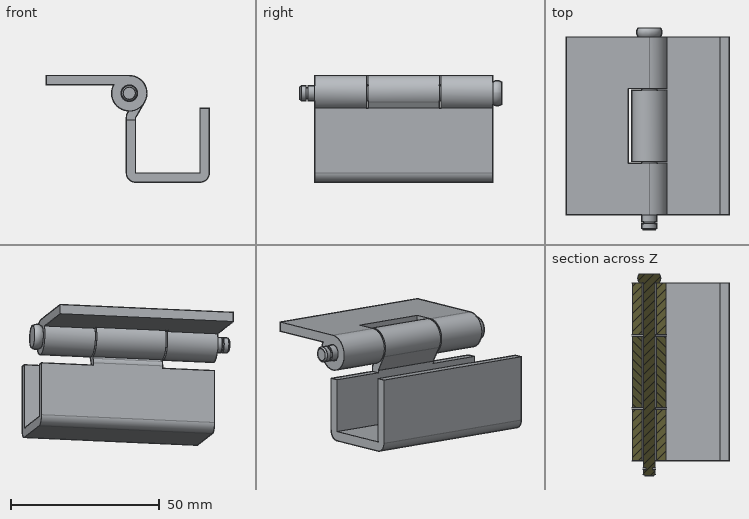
import cadquery as cq
import math

leaf_length = 60.0
thickness = 3.2
knuckle_radius = 6.0
shaft_radius = 2.6
hole_radius = 2.8

flat_reach = 28.0
notch_length = 25.0
notch_edge_x = -7.0

channel_left = -1.0
channel_right = 27.0
channel_bottom = -30.0
flange_top = -5.0
shoulder_top = -9.0
center_knuckle_length = 24.0
bend_angle = math.radians(60)

head_radius = 4.3
head_height = 3.0
head_face_radius = 3.75
overall_length = 68
tail_length = overall_length - leaf_length - head_height
tail_chamfer = 0.55
groove_radius = 1.9
groove_width = 0.6
groove_offset = 2.3


def along_y(outline, length):
    """Extrude an XZ outline symmetrically about Y = 0."""
    return outline.extrude(length / 2, both=True)


def xz_box(left, right, bottom, top, length):
    return cq.Workplane("XY").box(right - left, length, top - bottom).translate(
        ((left + right) / 2, 0, (bottom + top) / 2)
    )


def barrel(radius, length):
    return along_y(cq.Workplane("XZ").circle(radius), length)


def make_flat_leaf():
    plate = xz_box(-flat_reach, 0, knuckle_radius - thickness, knuckle_radius, leaf_length)
    leaf = plate.union(barrel(knuckle_radius, leaf_length))
    notch = xz_box(notch_edge_x, knuckle_radius, -knuckle_radius, knuckle_radius, notch_length)
    return leaf.cut(notch).cut(barrel(hole_radius, leaf_length))


def make_arm():
    """Bent arm whose inner face runs tangent to the centre knuckle."""
    tangent_x = knuckle_radius * math.sin(bend_angle)
    tangent_z = -knuckle_radius * math.cos(bend_angle)
    bend_x = channel_left + thickness
    bend_z = tangent_z - (tangent_x - bend_x) * math.tan(bend_angle)

    def outer_bend(turn):
        return (bend_x - thickness * math.cos(turn), bend_z + thickness * math.sin(turn))

    full_turn = math.pi / 2 - bend_angle
    outline = (
        cq.Workplane("XZ")
        .moveTo(bend_x, shoulder_top)
        .lineTo(bend_x, bend_z)
        .lineTo(tangent_x, tangent_z)
        .lineTo(tangent_x - thickness * math.sin(bend_angle), tangent_z + thickness * math.cos(bend_angle))
        .lineTo(*outer_bend(full_turn))
        .threePointArc(outer_bend(full_turn / 2), outer_bend(0))
        .lineTo(channel_left, shoulder_top)
        .close()
    )
    return along_y(outline, center_knuckle_length)


def make_channel_leaf():
    channel = xz_box(channel_left, channel_right, channel_bottom, flange_top, leaf_length)
    channel = channel.edges("|Y and <Z").fillet(thickness)
    inner_left = channel_left + thickness
    cavity = xz_box(
        inner_left, channel_right - thickness, channel_bottom + thickness, flange_top, leaf_length
    )
    above_shoulder = xz_box(channel_left, inner_left, shoulder_top, flange_top, leaf_length)
    leaf = channel.cut(cavity).cut(above_shoulder)
    leaf = leaf.union(make_arm()).union(barrel(knuckle_radius, center_knuckle_length))
    return leaf.cut(barrel(hole_radius, center_knuckle_length))


def make_pin():
    head_seat = leaf_length / 2
    tail_end = -leaf_length / 2 - tail_length
    groove_start = -leaf_length / 2 - groove_offset

    def cylinder(radius, start, length):
        return cq.Workplane("XZ", origin=(0, start, 0)).circle(radius).extrude(-length)

    shaft = cylinder(shaft_radius, tail_end, head_seat - tail_end)
    shaft = shaft.faces("<Y").chamfer(tail_chamfer)
    head = (
        cq.Workplane("XY")
        .moveTo(0, head_seat)
        .lineTo(head_face_radius, head_seat)
        .threePointArc((head_radius, head_seat + head_height / 2), (head_face_radius, head_seat + head_height))
        .lineTo(0, head_seat + head_height)
        .close()
        .revolve(360, (0, 0, 0), (0, 1, 0))
    )
    groove = cylinder(shaft_radius, groove_start - groove_width, groove_width).cut(
        cylinder(groove_radius, groove_start - groove_width, groove_width)
    )
    return shaft.union(head).cut(groove)


flat_leaf = make_flat_leaf()
channel_leaf = make_channel_leaf()
pin = make_pin()

result = cq.Compound.makeCompound([flat_leaf.val(), channel_leaf.val(), pin.val()])